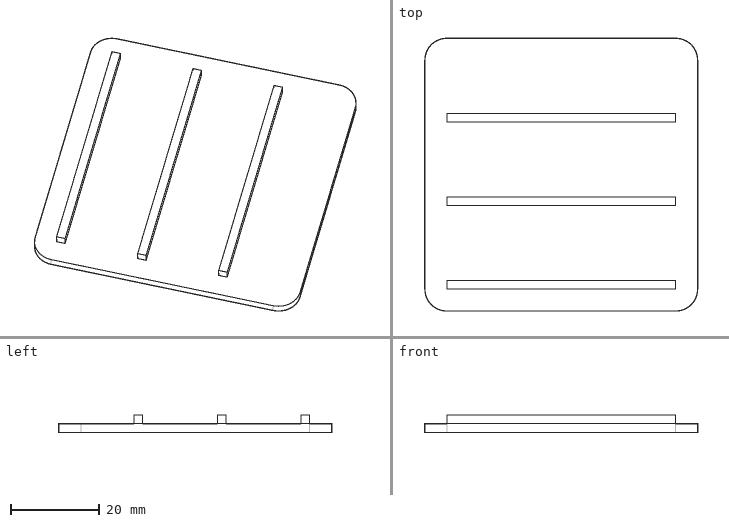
import cadquery as cq

plate_side = 62.0
corner_radius = 5.0
total_height = 4.0
rib_width = 2.0
rib_count = 3
rib_pitch = 19.0

plate_thickness = total_height / 2
rib_height = total_height - plate_thickness

rib_length = plate_side - 2 * corner_radius
first_rib_y = -rib_length / 2 + rib_width / 2
rib_centres = [(0, first_rib_y + i * rib_pitch) for i in range(rib_count)]

plate = (
    cq.Workplane("XY")
    .rect(plate_side, plate_side)
    .extrude(plate_thickness)
    .edges("|Z")
    .fillet(corner_radius)
)

ribs = (
    cq.Workplane("XY")
    .workplane(offset=plate_thickness)
    .pushPoints(rib_centres)
    .rect(rib_length, rib_width)
    .extrude(rib_height)
)

result = plate.union(ribs)